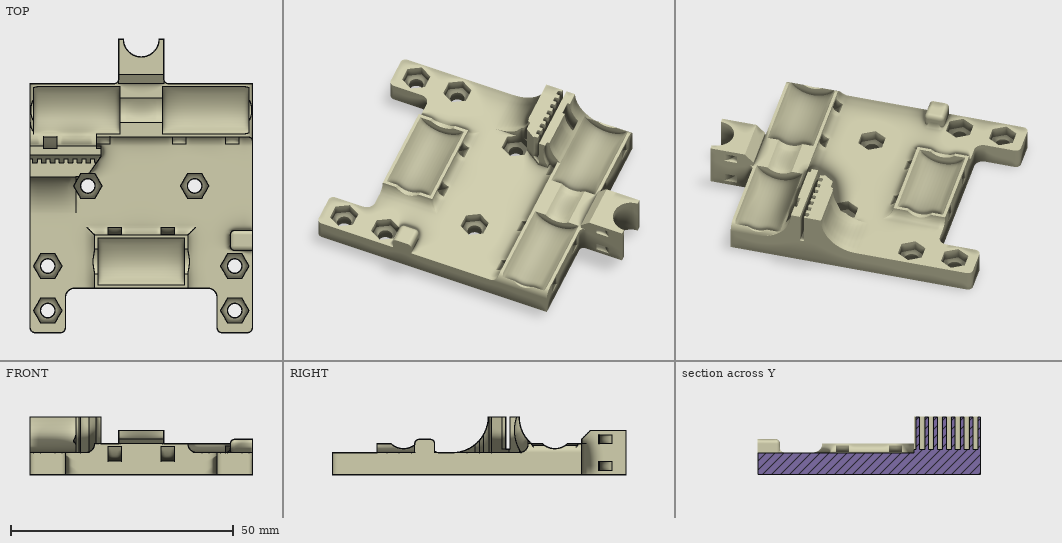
import cadquery as cq
import math

PLATE_WIDTH = 50.0
PLATE_THICKNESS = 5.0
PLATE_REAR_Y = 6.0
PLATE_FRONT_Y = -50.0
FOOT_WIDTH = 8.0
BAY_REAR_Y = -40.0
BAY_CORNER_RADIUS = 2.0
FOOT_CORNER_RADIUS = 1.2
HALF_WIDTH = PLATE_WIDTH / 2

REAR_ROD_Y = 0.0
FRONT_ROD_Y = -34.0
ROD_AXIS_Z = 10.0
ROD_CLEARANCE_RADIUS = 4.1
BEARING_RADIUS = 6.1
BEARING_LENGTH = 19.5
REAR_BEARING_X = 14.5
HOLDER_TOP_Z = 7.0
HOLDER_HALF_DEPTH = 6.0
HOLDER_RISE = HOLDER_TOP_Z - PLATE_THICKNESS
FRONT_HOLDER_HALF_WIDTH = 10.5
TIE_INNER_RADIUS = 7.0
TIE_OUTER_RADIUS = 9.1
TIE_WIDTH = 3.0
TIE_OFFSET = 5.95

CLAMP_TOP_Z = 13.0
CLAMP_RIGHT_X = -9.0
CLAMP_REAR_Y = -8.0
CLAMP_FRONT_Y = -14.85
FRONT_FLANK_TOP_Y = -15.0
FLANK_RADIUS = CLAMP_TOP_Z - PLATE_THICKNESS
REAR_FLANK_RIGHT_X = -10.0
FRONT_FLANK_RIGHT_X = -14.65
CLAMP_BEVEL_REAR_Y = -10.3
CLAMP_BEVEL_FRONT_X = -12.2
BELT_SLOT_REAR_Y = -10.1
BELT_SLOT_WIDTH = 0.9
BELT_SLOT_FLOOR_Z = 5.8
TOOTH_PITCH = 2.0
TOOTH_WIDTH = 1.1
TOOTH_DEPTH = 0.9
TOOTH_CORNER_RADIUS = 0.3
TOOTH_COUNT = 8
FIRST_TOOTH_X = -23.9

ARM_WIDTH = 10.2
ARM_LENGTH = 10.0
ARM_HEIGHT = 10.0
ARM_CHAMFER = 2.0
ARM_ROOT_RADIUS = 1.0
ARM_SEAT_RADIUS = 4.0
ARM_TIE_INNER_RADIUS = 6.0
ARM_TIE_OUTER_RADIUS = 8.0
ARM_TIE_HEIGHT = 2.0
ARM_TIE_FLOORS = (1.0, 7.0)
ARM_TIP_Y = PLATE_REAR_Y + ARM_LENGTH

KNOB_LEFT_X = 20.0
KNOB_REAR_Y = -27.0
KNOB_FRONT_Y = -31.5
KNOB_TOP_Z = 8.0
KNOB_RADIUS = 1.0

HOLE_DIAMETER = 3.2
NUT_CORNER_DIAMETER = 6.4
NUT_FLOOR_Z = 2.5
INNER_NUT = (12.0, -17.0)
OUTER_NUTS = ((21.0, -35.0), (21.0, -45.0))
NUT_CENTRES = [(side * x, y) for side in (-1, 1) for x, y in (INNER_NUT, *OUTER_NUTS)]


def box(x0, x1, y0, y1, z0, z1):
    """Box between two opposite corners."""
    return cq.Workplane("XY").box(x1 - x0, y1 - y0, z1 - z0, centered=False).translate((x0, y0, z0))


def cylinder_x(x0, x1, y, z, radius):
    """Cylinder along X."""
    return cq.Workplane("YZ", origin=(x0, y, z)).circle(radius).extrude(x1 - x0)


def make_plate():
    """Base plate with its front bay and rounded feet."""
    plate = box(-HALF_WIDTH, HALF_WIDTH, PLATE_FRONT_Y, PLATE_REAR_Y, 0, PLATE_THICKNESS)
    bay_half = HALF_WIDTH - FOOT_WIDTH
    bay = box(-bay_half, bay_half, PLATE_FRONT_Y, BAY_REAR_Y, 0, PLATE_THICKNESS)
    bay = bay.edges("|Z and >Y").fillet(BAY_CORNER_RADIUS)
    return plate.cut(bay).edges("|Z and <Y").fillet(FOOT_CORNER_RADIUS)


def make_rear_holder():
    """Bar with rounded ends and a concave flank that runs down to the plate."""
    front = REAR_ROD_Y - HOLDER_HALF_DEPTH
    bar = box(-HALF_WIDTH, HALF_WIDTH, front - HOLDER_RISE, PLATE_REAR_Y, PLATE_THICKNESS, HOLDER_TOP_Z)
    bar = bar.cut(cylinder_x(-HALF_WIDTH, HALF_WIDTH, front - HOLDER_RISE, HOLDER_TOP_Z, HOLDER_RISE))
    rounded = box(-HALF_WIDTH, HALF_WIDTH, PLATE_FRONT_Y, PLATE_REAR_Y, 0, HOLDER_TOP_Z)
    rounded = rounded.edges("|Y and >Z").fillet(HOLDER_RISE)
    return bar.intersect(rounded)


def make_front_holder():
    """Block with concave flanks on its left, right and rear sides."""
    outer_x = FRONT_HOLDER_HALF_WIDTH + HOLDER_RISE
    outer_y = FRONT_ROD_Y + HOLDER_HALF_DEPTH + HOLDER_RISE
    block = box(-outer_x, outer_x, BAY_REAR_Y, outer_y, PLATE_THICKNESS, HOLDER_TOP_Z)
    block = block.cut(cylinder_x(-outer_x, outer_x, outer_y, HOLDER_TOP_Z, HOLDER_RISE))
    for x in (-outer_x, outer_x):
        flank = cq.Workplane("XZ", origin=(x, BAY_REAR_Y, HOLDER_TOP_Z)).circle(HOLDER_RISE)
        block = block.cut(flank.extrude(BAY_REAR_Y - outer_y))
    return block


def make_flank(right_x, block_y, axis_y):
    """Concave flank from the clamp block down to the plate, hollowed about an axis along X."""
    near_y, far_y = sorted((block_y, axis_y))
    fill = box(-HALF_WIDTH, right_x, near_y, far_y, PLATE_THICKNESS, CLAMP_TOP_Z)
    return fill.cut(cylinder_x(-HALF_WIDTH, right_x, axis_y, CLAMP_TOP_Z, FLANK_RADIUS))


def make_clamp():
    """Belt clamp block with its concave flanks."""
    block = (
        cq.Workplane("XY", origin=(0, 0, PLATE_THICKNESS))
        .moveTo(-HALF_WIDTH, CLAMP_REAR_Y)
        .lineTo(CLAMP_RIGHT_X, CLAMP_REAR_Y)
        .lineTo(CLAMP_RIGHT_X, CLAMP_BEVEL_REAR_Y)
        .lineTo(CLAMP_BEVEL_FRONT_X, CLAMP_FRONT_Y)
        .lineTo(-HALF_WIDTH, CLAMP_FRONT_Y)
        .close()
        .extrude(FLANK_RADIUS)
    )
    rear_flank = make_flank(REAR_FLANK_RIGHT_X, CLAMP_REAR_Y, CLAMP_REAR_Y + FLANK_RADIUS)
    front_flank = make_flank(FRONT_FLANK_RIGHT_X, CLAMP_FRONT_Y, FRONT_FLANK_TOP_Y - FLANK_RADIUS)
    return block.union(rear_flank).union(front_flank)


def make_tie_clearance():
    """Openings through the clamp flank that lead the zip ties up from their channels."""
    holder_face_y = REAR_ROD_Y - HOLDER_HALF_DEPTH
    cuts = cq.Workplane("XY")
    for offset in (-TIE_OFFSET, TIE_OFFSET):
        left = offset - REAR_BEARING_X - TIE_WIDTH / 2
        right = left + TIE_WIDTH
        disc = cylinder_x(left, right, REAR_ROD_Y, ROD_AXIS_Z, TIE_OUTER_RADIUS)
        outside = box(left, right, REAR_ROD_Y - TIE_OUTER_RADIUS, holder_face_y, 0, CLAMP_TOP_Z)
        cuts = cuts.add(disc.intersect(outside))
    return cuts.combine()


def make_belt_slot():
    """Belt slot with a row of tooth notches along its front wall."""
    slot_front = BELT_SLOT_REAR_Y - BELT_SLOT_WIDTH
    slot = box(-HALF_WIDTH, CLAMP_RIGHT_X, slot_front, BELT_SLOT_REAR_Y, BELT_SLOT_FLOOR_Z, CLAMP_TOP_Z)
    for index in range(TOOTH_COUNT):
        x = FIRST_TOOTH_X + index * TOOTH_PITCH
        left = x - TOOTH_WIDTH / 2
        right = x + TOOTH_WIDTH / 2
        notch = box(left, right, slot_front - TOOTH_DEPTH, slot_front, BELT_SLOT_FLOOR_Z, CLAMP_TOP_Z)
        slot = slot.union(notch.edges("|Z and <Y").fillet(TOOTH_CORNER_RADIUS))
    return slot


def make_arm():
    """Idler arm with filleted roots, a round seat at its tip and two zip-tie channels."""
    half = ARM_WIDTH / 2
    arm = box(-half, half, PLATE_REAR_Y, ARM_TIP_Y, 0, ARM_HEIGHT)
    arm = arm.edges("|X and >Z and <Y").chamfer(ARM_CHAMFER)
    for side in (-1, 1):
        root = box(0, ARM_ROOT_RADIUS, 0, ARM_ROOT_RADIUS, 0, HOLDER_TOP_Z)
        round_cut = cq.Workplane("XY").center(ARM_ROOT_RADIUS, ARM_ROOT_RADIUS)
        root = root.cut(round_cut.circle(ARM_ROOT_RADIUS).extrude(HOLDER_TOP_Z))
        root = root.translate((half, PLATE_REAR_Y, 0))
        arm = arm.union(root if side > 0 else root.mirror("YZ"))
    seat = cq.Workplane("XY").center(0, ARM_TIP_Y)
    arm = arm.cut(seat.circle(ARM_SEAT_RADIUS).extrude(ARM_HEIGHT))
    for floor in ARM_TIE_FLOORS:
        ring = cq.Workplane("XY", origin=(0, ARM_TIP_Y, floor))
        ring = ring.circle(ARM_TIE_OUTER_RADIUS).circle(ARM_TIE_INNER_RADIUS)
        arm = arm.cut(ring.extrude(ARM_TIE_HEIGHT))
    return arm


def make_foot_profile(y):
    """Section of the knob foot: a concave quarter round left of the knob."""
    middle = KNOB_RADIUS * (1 - math.sqrt(0.5))
    return (
        cq.Workplane("XZ", origin=(KNOB_LEFT_X, y, PLATE_THICKNESS))
        .lineTo(-KNOB_RADIUS, 0)
        .threePointArc((-middle, middle), (0, KNOB_RADIUS))
        .close()
    )


def make_knob():
    """Rounded knob with a concave foot on its left side."""
    knob = box(KNOB_LEFT_X, HALF_WIDTH, KNOB_FRONT_Y, KNOB_REAR_Y, PLATE_THICKNESS, KNOB_TOP_Z)
    knob = knob.edges("|Z and <X").fillet(KNOB_RADIUS)
    knob = knob.edges(">Z").edges("not >X").fillet(KNOB_RADIUS)
    foot_rear = KNOB_REAR_Y - KNOB_RADIUS
    foot_front = KNOB_FRONT_Y + KNOB_RADIUS
    foot = make_foot_profile(foot_rear).extrude(foot_rear - foot_front)
    for y in (foot_rear, foot_front):
        foot = foot.union(make_foot_profile(y).revolve(360, (0, 0), (0, 1)))
    return knob.union(foot)


def make_bearing_cuts(rod_y, bearing_x):
    """Bearing pocket and two zip-tie channels for one bearing."""
    half = BEARING_LENGTH / 2
    cuts = cylinder_x(bearing_x - half, bearing_x + half, rod_y, ROD_AXIS_Z, BEARING_RADIUS)
    for offset in (-TIE_OFFSET, TIE_OFFSET):
        ring = cq.Workplane("YZ", origin=(bearing_x + offset - TIE_WIDTH / 2, rod_y, ROD_AXIS_Z))
        cuts = cuts.union(ring.circle(TIE_OUTER_RADIUS).circle(TIE_INNER_RADIUS).extrude(TIE_WIDTH))
    return cuts


def make_nut_holes():
    """Screw holes with nut pockets, open upward through anything above the plate."""
    holes = cq.Workplane("XY").pushPoints(NUT_CENTRES).circle(HOLE_DIAMETER / 2).extrude(CLAMP_TOP_Z)
    pockets = cq.Workplane("XY", origin=(0, 0, NUT_FLOOR_Z)).pushPoints(NUT_CENTRES)
    return holes.union(pockets.polygon(6, NUT_CORNER_DIAMETER).extrude(CLAMP_TOP_Z))


body = make_plate()
for feature in (make_rear_holder(), make_front_holder(), make_clamp()):
    body = body.union(feature)
for rod_y in (REAR_ROD_Y, FRONT_ROD_Y):
    body = body.cut(cylinder_x(-HALF_WIDTH, HALF_WIDTH, rod_y, ROD_AXIS_Z, ROD_CLEARANCE_RADIUS))
for rod_y, bearing_x in (
    (REAR_ROD_Y, -REAR_BEARING_X),
    (REAR_ROD_Y, REAR_BEARING_X),
    (FRONT_ROD_Y, 0),
):
    body = body.cut(make_bearing_cuts(rod_y, bearing_x))
body = body.cut(make_tie_clearance()).cut(make_belt_slot()).cut(make_nut_holes())
result = body.union(make_arm()).union(make_knob())